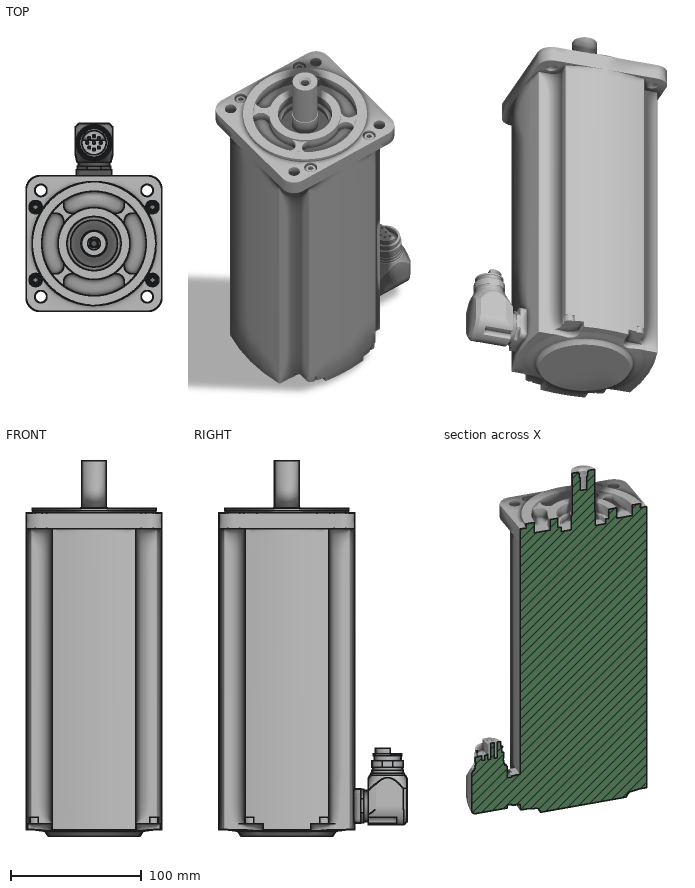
import cadquery as cq
import math


MOTOR_WIDTH = 104.0
HALF_WIDTH = MOTOR_WIDTH / 2
TOTAL_HEIGHT = 287.5
SHAFT_TOP_Z = 40.0
MOTOR_BOTTOM_Z = SHAFT_TOP_Z - TOTAL_HEIGHT
END_CAP_HEIGHT = 5.0
BODY_BOTTOM_Z = MOTOR_BOTTOM_Z + END_CAP_HEIGHT

FLANGE_THICKNESS = 12.0
FLANGE_CORNER_RADIUS = 11.0
MOUNT_HOLE_DIAMETER = 9.0
MOUNT_CIRCLE_DIAMETER = 115.0
PILOT_DIAMETER = 95.0
PILOT_HEIGHT = 3.5
PILOT_UNDERCUT_DIAMETER = 94.0
PILOT_UNDERCUT_HEIGHT = 1.5

POCKET_OUTER_DIAMETER = 80.0
HUB_DIAMETER = 55.0
POCKET_SIDE = 23.2
POCKET_CORNER_RADIUS = 6.0
POCKET_DEPTH = 9.0
SPOKE_DROP = 1.5
HUB_BORE_DIAMETER = 41.5
HUB_BORE_DEPTH = 8.0
SEAL_BORE_DIAMETER = 36.0
SEAL_BORE_DEPTH = 12.0

SCREW_X = 44.7
SCREW_Y = 27.9
COUNTERBORE_DIAMETER = 10.0
COUNTERBORE_DEPTH = 6.0
SCREW_HEAD_DIAMETER = 8.5
SCREW_HEAD_HEIGHT = 5.0
SCREW_HEAD_CHAMFER = 1.0
SCREW_SOCKET_SIDES = 6
SCREW_SOCKET_FLATS = 4.0
SCREW_SOCKET_DEPTH = 2.5

SHAFT_DIAMETER = 19.0
SHAFT_SEAT_DIAMETER = 20.0
SHAFT_SEAT_TOP_Z = 4.0
CENTRE_CONE_DIAMETER = 9.5
CENTRE_BORE_DIAMETER = 6.4
CENTRE_BORE_DEPTH = 5.0
THREAD_BORE_DIAMETER = 5.1
THREAD_BORE_DEPTH = 16.0

LOBE_HALF_WIDTH = 32.0
LOBE_EDGE = 48.0
LOBE_EDGE_RADIUS = 1.1
NOTCH_RADIUS = 6.5

CAP_SKIRT_DIAMETER = 92.0
CAP_SKIRT_DROP = 1.2
CAP_TOP_DIAMETER = 75.0
CAP_BOTTOM_DIAMETER = 70.0
RECESS_X = 32.3
RECESS_Y = 18.1
RECESS_CORNER_RADIUS = 7.3
RECESS_HEIGHT = 4.5
RECESS_TOP_Z = BODY_BOTTOM_Z + RECESS_HEIGHT
SCREW_POCKET_X = 42.6
SCREW_POCKET_Y = 25.3
SCREW_POCKET_TOP_Z = RECESS_TOP_Z + SCREW_HEAD_HEIGHT
RECESS_END_Y = 39.0

CONNECTOR_OUTER_Y = 92.0
INLET_Z = -224.3
BASE_WIDTH = 27.2
BASE_HEIGHT = 26.2
BASE_CORNER_RADIUS = 3.5
BASE_OVERLAP = 2.0
BASE_START_Y = HALF_WIDTH - BASE_OVERLAP
BASE_END_Y = 56.5
INLET_RING_FLATS = 25.8
INLET_RING_SIDES = 8
INLET_RING_END_Y = 59.0
INLET_NECK_DIAMETER = 24.0
ELBOW_START_Y = 62.2
ELBOW_TAPER_END_Y = 68.4
ELBOW_WIDTH = 28.9
ELBOW_START_WIDTH = 25.7
ELBOW_CHAMFER = 3.0
ELBOW_BOTTOM_CHAMFER = 2.5
PLUG_Y = (ELBOW_START_Y + CONNECTOR_OUTER_Y) / 2
SHOULDER_TOP_Z = -201.0
SHOULDER_TOP_RADIUS = 13.6
SHOULDER_SLOPE = 0.52
ELBOW_FLATS = 12.0
ELBOW_FLATS_TOP_Z = -233.0
ELBOW_FLATS_END_Y = 84.0

COLLAR_DIAMETER = 25.5
COLLAR_TOP_Z = -199.4
RING_DIAMETER = 24.0
RING_TOP_Z = -197.0
GROOVE_DIAMETER = 22.9
NUT_BOTTOM_Z = -194.7
NUT_TOP_Z = -189.7
NUT_DIAMETER = 24.0
NUT_FLATS = 22.6
THREAD_NECK_DIAMETER = 20.5
RIM_DIAMETER = 21.95
RIM_BOTTOM_Z = -185.8
RIM_TOP_Z = -184.5
SOCKET_DIAMETER = 18.6
SOCKET_DEPTH = 5.0
INSERT_TOP_Z = -180.0
INSERT_CUT_Y = 79.2
CONTACT_DIAMETER = 1.99
CONTACT_CIRCLE_RADIUS = 5.2
CONTACT_COUNT = 8
CONTACT_DEPTH = 4.0


def cylinder(diameter, bottom_z, top_z, centre=(0, 0)):
    """Vertical cylinder between two heights."""
    disc = cq.Workplane("XY", origin=(centre[0], centre[1], bottom_z)).circle(diameter / 2)
    return disc.extrude(top_z - bottom_z)


def box_between(x_range, y_range, z_range):
    """Box given by its limits along each axis."""
    size = [high - low for low, high in (x_range, y_range, z_range)]
    corner = (x_range[0], y_range[0], z_range[0])
    return cq.Workplane("XY").box(*size, centered=False).translate(corner)


def on_both_sides(shape):
    """The shape with its mirror images across the XZ and YZ planes."""
    pair = shape.union(shape.mirror("YZ"))
    return pair.union(pair.mirror("XZ"))


def mirrored_points(x, y):
    return [(sx * x, sy * y) for sx in (-1, 1) for sy in (-1, 1)]


def make_body():
    """Extruded housing: four bowed lobes with a rounded notch at each corner."""
    height = -FLANGE_THICKNESS - BODY_BOTTOM_Z
    bow = cq.Workplane("XY", origin=(0, 0, BODY_BOTTOM_Z))
    bow = bow.moveTo(LOBE_EDGE, -LOBE_HALF_WIDTH)
    bow = bow.threePointArc((HALF_WIDTH, 0), (LOBE_EDGE, LOBE_HALF_WIDTH))
    bow = bow.lineTo(-LOBE_EDGE, LOBE_HALF_WIDTH)
    bow = bow.threePointArc((-HALF_WIDTH, 0), (-LOBE_EDGE, -LOBE_HALF_WIDTH))
    lobes_x = bow.close().extrude(height)
    lobes_x = lobes_x.edges("|Z").fillet(LOBE_EDGE_RADIUS)
    lobes_y = lobes_x.rotate((0, 0, 0), (0, 0, 1), 90)
    body = lobes_x.union(lobes_y)
    reach = (LOBE_HALF_WIDTH + LOBE_EDGE) / 2
    inner_corners = cq.selectors.BoxSelector((-reach, -reach, MOTOR_BOTTOM_Z), (reach, reach, 0))
    return body.edges("|Z").edges(inner_corners).fillet(NOTCH_RADIUS)


def make_end_cap():
    """Round cover below the body: a shallow skirt followed by a steeper cone."""
    profile = [
        (0, BODY_BOTTOM_Z),
        (CAP_SKIRT_DIAMETER / 2, BODY_BOTTOM_Z),
        (CAP_TOP_DIAMETER / 2, BODY_BOTTOM_Z - CAP_SKIRT_DROP),
        (CAP_BOTTOM_DIAMETER / 2, MOTOR_BOTTOM_Z),
        (0, MOTOR_BOTTOM_Z),
    ]
    return cq.Workplane("XZ").polyline(profile).close().revolve(360, (0, 0), (0, 1))


def make_screw_recesses():
    """Stepped cut-outs at the four lower corners that give access to the end screws."""
    recess = box_between((RECESS_X, HALF_WIDTH), (RECESS_Y, RECESS_END_Y), (MOTOR_BOTTOM_Z, RECESS_TOP_Z))
    recess = recess.edges("|Z and <X and <Y").fillet(RECESS_CORNER_RADIUS)
    head_pocket = box_between(
        (SCREW_POCKET_X, HALF_WIDTH),
        (SCREW_POCKET_Y, LOBE_HALF_WIDTH),
        (RECESS_TOP_Z, SCREW_POCKET_TOP_Z),
    )
    return on_both_sides(recess.union(head_pocket))


def make_end_screws():
    """Screw heads hanging in the upper step of the corner cut-outs."""
    return on_both_sides(
        cylinder(SCREW_HEAD_DIAMETER, RECESS_TOP_Z, SCREW_POCKET_TOP_Z, (SCREW_X, SCREW_Y))
    )


def make_face_pocket():
    """Pocket on the +Y side of the flange face, between hub and outer ring."""
    floor_z = PILOT_HEIGHT - POCKET_DEPTH
    ring = cylinder(POCKET_OUTER_DIAMETER, floor_z, PILOT_HEIGHT)
    ring = ring.cut(cylinder(HUB_DIAMETER, floor_z, PILOT_HEIGHT))
    limits = box_between((-POCKET_SIDE, POCKET_SIDE), (POCKET_SIDE, HALF_WIDTH), (floor_z, PILOT_HEIGHT))
    limits = limits.edges("|Z and <Y").fillet(POCKET_CORNER_RADIUS)
    return ring.intersect(limits)


def make_flange():
    """Mounting flange with pilot, hub bore, face pockets and mounting holes."""
    plate = cq.Workplane("XY", origin=(0, 0, -FLANGE_THICKNESS))
    plate = plate.rect(MOTOR_WIDTH, MOTOR_WIDTH).extrude(FLANGE_THICKNESS)
    plate = plate.edges("|Z").fillet(FLANGE_CORNER_RADIUS)
    flange = plate.union(cylinder(PILOT_UNDERCUT_DIAMETER, 0, PILOT_UNDERCUT_HEIGHT))
    flange = flange.union(cylinder(PILOT_DIAMETER, PILOT_UNDERCUT_HEIGHT, PILOT_HEIGHT))

    spoke_gap = cylinder(POCKET_OUTER_DIAMETER, PILOT_HEIGHT - SPOKE_DROP, PILOT_HEIGHT)
    flange = flange.cut(spoke_gap.cut(cylinder(HUB_DIAMETER, PILOT_HEIGHT - SPOKE_DROP, PILOT_HEIGHT)))
    pocket = make_face_pocket()
    for angle in (0, 90, 180, 270):
        flange = flange.cut(pocket.rotate((0, 0, 0), (0, 0, 1), angle))
    flange = flange.cut(cylinder(HUB_BORE_DIAMETER, PILOT_HEIGHT - HUB_BORE_DEPTH, PILOT_HEIGHT))
    flange = flange.cut(cylinder(SEAL_BORE_DIAMETER, PILOT_HEIGHT - SEAL_BORE_DEPTH, PILOT_HEIGHT))

    hole_offset = MOUNT_CIRCLE_DIAMETER / 2 * math.sqrt(0.5)
    for centre in mirrored_points(hole_offset, hole_offset):
        flange = flange.cut(cylinder(MOUNT_HOLE_DIAMETER, -FLANGE_THICKNESS, 0, centre))
    return flange


def add_flange_screws(flange):
    """Sink four socket-head screws into counterbores in the flange."""
    floor_z = -COUNTERBORE_DEPTH
    head_top_z = floor_z + SCREW_HEAD_HEIGHT
    for centre in mirrored_points(SCREW_X, SCREW_Y):
        flange = flange.cut(cylinder(COUNTERBORE_DIAMETER, floor_z, PILOT_HEIGHT, centre))
        head = cylinder(SCREW_HEAD_DIAMETER, floor_z, head_top_z, centre)
        head = head.faces(">Z").chamfer(SCREW_HEAD_CHAMFER)
        socket = cq.Workplane("XY", origin=(centre[0], centre[1], head_top_z))
        socket = socket.polygon(SCREW_SOCKET_SIDES, SCREW_SOCKET_FLATS, circumscribed=True)
        socket = socket.extrude(-SCREW_SOCKET_DEPTH)
        flange = flange.union(head.cut(socket))
    return flange


def make_shaft():
    """Output shaft with a stepped, countersunk bore in its end."""
    shaft = cylinder(SHAFT_SEAT_DIAMETER, -FLANGE_THICKNESS, SHAFT_SEAT_TOP_Z)
    shaft = shaft.union(cylinder(SHAFT_DIAMETER, SHAFT_SEAT_TOP_Z, SHAFT_TOP_Z))
    shaft = shaft.cut(cylinder(THREAD_BORE_DIAMETER, SHAFT_TOP_Z - THREAD_BORE_DEPTH, SHAFT_TOP_Z))
    shaft = shaft.cut(cylinder(CENTRE_BORE_DIAMETER, SHAFT_TOP_Z - CENTRE_BORE_DEPTH, SHAFT_TOP_Z))
    cone_depth = (CENTRE_CONE_DIAMETER - CENTRE_BORE_DIAMETER) / 2
    cone = cq.Workplane("XY", origin=(0, 0, SHAFT_TOP_Z)).circle(CENTRE_CONE_DIAMETER / 2)
    cone = cone.workplane(offset=-cone_depth).circle(CENTRE_BORE_DIAMETER / 2).loft(ruled=True)
    return shaft.cut(cone)


def make_inlet():
    """Rounded square base on the body, with an octagonal ring and a round neck leading to the elbow."""
    base = box_between(
        (-BASE_WIDTH / 2, BASE_WIDTH / 2),
        (BASE_START_Y, BASE_END_Y),
        (INLET_Z - BASE_HEIGHT / 2, INLET_Z + BASE_HEIGHT / 2),
    )
    base = base.edges("|Y").fillet(BASE_CORNER_RADIUS)
    ring = cq.Workplane("XZ", origin=(0, BASE_END_Y, INLET_Z))
    ring = ring.polygon(INLET_RING_SIDES, INLET_RING_FLATS, circumscribed=True)
    ring = ring.extrude(BASE_END_Y - INLET_RING_END_Y)
    neck = cq.Workplane("XZ", origin=(0, INLET_RING_END_Y, INLET_Z)).circle(INLET_NECK_DIAMETER / 2)
    neck = neck.extrude(INLET_RING_END_Y - ELBOW_START_Y)
    return base.union(ring).union(neck)


def make_elbow():
    """Elbow housing: round underside, tapered inlet end, conical shoulder and low wrench flats."""
    half = ELBOW_WIDTH / 2
    half_start = ELBOW_START_WIDTH / 2
    bottom_z = INLET_Z - half
    plan = [
        (-half_start, ELBOW_START_Y),
        (-half, ELBOW_TAPER_END_Y),
        (-half, CONNECTOR_OUTER_Y - ELBOW_CHAMFER),
        (-half + ELBOW_CHAMFER, CONNECTOR_OUTER_Y),
    ]
    plan += [(-x, y) for x, y in reversed(plan)]
    block = cq.Workplane("XY", origin=(0, 0, bottom_z)).polyline(plan).close()
    block = block.extrude(SHOULDER_TOP_Z - bottom_z)

    side = cq.Workplane("XZ", origin=(0, ELBOW_START_Y, 0))
    side = side.moveTo(-half, SHOULDER_TOP_Z).lineTo(-half, INLET_Z)
    side = side.threePointArc((0, bottom_z), (half, INLET_Z))
    side = side.lineTo(half, SHOULDER_TOP_Z).close()
    elbow = block.intersect(side.extrude(ELBOW_START_Y - CONNECTOR_OUTER_Y))
    elbow = elbow.faces(">Y").edges("<Z").chamfer(ELBOW_BOTTOM_CHAMFER)

    drop = SHOULDER_TOP_Z - bottom_z
    shoulder = cq.Workplane("XY", origin=(0, PLUG_Y, SHOULDER_TOP_Z)).circle(SHOULDER_TOP_RADIUS)
    shoulder = shoulder.workplane(offset=-drop).circle(SHOULDER_TOP_RADIUS + SHOULDER_SLOPE * drop)
    elbow = elbow.intersect(shoulder.loft(ruled=True))
    flat_cut = box_between(
        (ELBOW_FLATS / 2, ELBOW_WIDTH),
        (ELBOW_START_Y, ELBOW_FLATS_END_Y),
        (bottom_z, ELBOW_FLATS_TOP_Z),
    )
    return elbow.cut(flat_cut).cut(flat_cut.mirror("YZ"))


def make_plug():
    """Stack of rings, nut and threaded neck above the elbow, with the contact insert."""
    axis = (0, PLUG_Y)
    plug = cylinder(COLLAR_DIAMETER, SHOULDER_TOP_Z, COLLAR_TOP_Z, axis)
    plug = plug.union(cylinder(RING_DIAMETER, COLLAR_TOP_Z, RING_TOP_Z, axis))
    plug = plug.union(cylinder(GROOVE_DIAMETER, RING_TOP_Z, NUT_BOTTOM_Z, axis))

    nut = cylinder(NUT_DIAMETER, NUT_BOTTOM_Z, NUT_TOP_Z, axis)
    flats = box_between(
        (-NUT_FLATS / 2, NUT_FLATS / 2),
        (ELBOW_START_Y, CONNECTOR_OUTER_Y),
        (NUT_BOTTOM_Z, NUT_TOP_Z),
    )
    plug = plug.union(nut.intersect(flats))

    plug = plug.union(cylinder(THREAD_NECK_DIAMETER, NUT_TOP_Z, RIM_BOTTOM_Z, axis))
    plug = plug.union(cylinder(RIM_DIAMETER, RIM_BOTTOM_Z, RIM_TOP_Z, axis))
    socket_floor_z = RIM_TOP_Z - SOCKET_DEPTH
    plug = plug.cut(cylinder(SOCKET_DIAMETER, socket_floor_z, RIM_TOP_Z, axis))

    insert = cylinder(SOCKET_DIAMETER, socket_floor_z, INSERT_TOP_Z, axis)
    beyond = box_between(
        (-HALF_WIDTH, HALF_WIDTH),
        (INSERT_CUT_Y, CONNECTOR_OUTER_Y),
        (socket_floor_z, INSERT_TOP_Z),
    )
    plug = plug.union(insert.cut(beyond))

    contacts = [axis]
    for index in range(CONTACT_COUNT):
        angle = 2 * math.pi * index / CONTACT_COUNT
        x = CONTACT_CIRCLE_RADIUS * math.cos(angle)
        y = PLUG_Y + CONTACT_CIRCLE_RADIUS * math.sin(angle)
        contacts.append((x, y))
    for centre in contacts:
        plug = plug.cut(cylinder(CONTACT_DIAMETER, socket_floor_z - CONTACT_DEPTH, INSERT_TOP_Z, centre))
    return plug


housing = make_body().union(make_end_cap()).cut(make_screw_recesses()).union(make_end_screws())
front_end = add_flange_screws(make_flange()).union(make_shaft())
connector = make_inlet().union(make_elbow()).union(make_plug())
result = housing.union(front_end).union(connector)